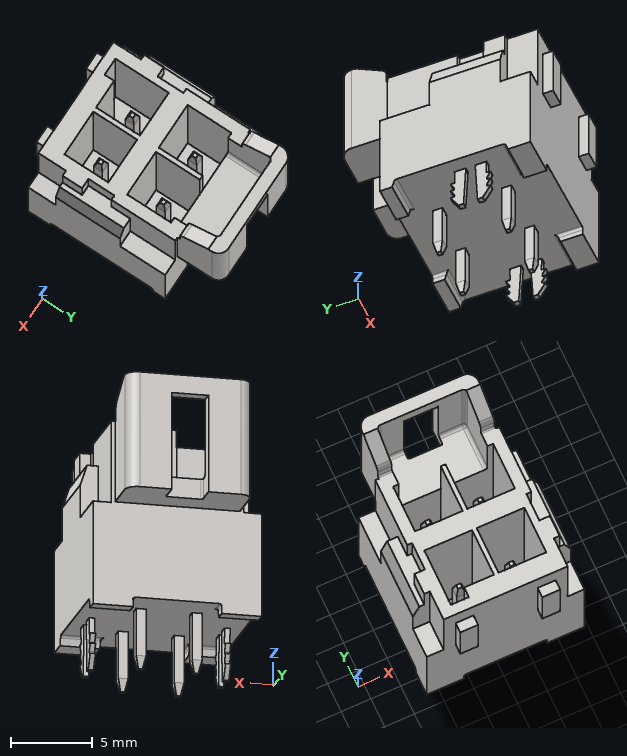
import cadquery as cq


BODY_WIDTH = 10.6
BODY_DEPTH = 10.0
CORE_WIDTH = 8.32
CORE_TOP = 11.82
SHOULDER_Z = 6.59

BLOCK_FRONT_Y = 2.01
BLOCK_BACK_Y = 6.7
BLOCK_TOP_Z = 9.96
BLOCK_TOP_WIDTH = 9.74
BLOCK_BEVEL_Z = 8.67
GUIDE_WIDTH = 9.08
GUIDE_BACK_Y = 3.44
NOTCH_WIDTH = 7.67
NOTCH_BACK_Y = 5.33

RIB_PROJECTION = 0.67
RIB_WIDTH = 1.2
RIB_TOP_Z = 10.3
RIB_SPACING = 5.5

PITCH_X = 3.51
ROWS_Y = (2.98, 7.55)
CAVITY_SIZE = 3.2
CAVITY_FLOOR_Z = 1.38
KEYWAY_WIDTH = 1.2
KEYWAY_DEPTH = 0.69
PIN_SIZE = 0.64
PIN_TIP_SIZE = 0.28
PIN_TIP_LENGTH = 0.8
PIN_BOTTOM_Z = -3.18
PIN_TOP_Z = 7.74

RECESS_HEIGHT = 0.62
RECESS_WIDTH = 5.57
RECESS_ROUND = 0.17
SIDE_RECESS_FRONT_Y = 1.51
SIDE_RECESS_BACK_Y = 9.18
SIDE_RECESS_SLOPE_RUN = 0.17
SIDE_RECESS_ROUND = 0.2

LATCH_WIDTH = 7.85
LATCH_BACK_Y = 13.25
LATCH_TOP_Z = 14.02
LATCH_BOTTOM_Z = 6.64
LATCH_CORNER_ROUND = 0.75
LATCH_WALL = 0.86
LATCH_ARM_FRONT_Y = 10.17
LATCH_SLOPE_BACK_Y = 12.25
LATCH_SLOPE_FRONT_Z = 12.83
LATCH_NOSE_ROUND = 0.5
LATCH_ROOT_ROUND = 0.1
LATCH_OPENING_WIDTH = 5.95
LATCH_FLOOR_Z = 7.91
LATCH_INNER_ROUND = 0.25
WINDOW_WIDTH = 2.3
WINDOW_TOP_Z = 12.83
WINDOW_NOTCH_LENGTH = 0.65
WINDOW_NOTCH_ROUND = 0.1

CLIP_SPACING = 8.5
CLIP_THICKNESS = 0.35
CLIP_CENTER_Y = 4.35
CLIP_BOTTOM_Z = -2.63
CLIP_INNER_TOP = 0.31
CLIP_INNER_BOTTOM = 0.46
CLIP_OUTER = 1.07
CLIP_OUTER_BOTTOM = 0.8
BARB_REACH = 1.32
BARB_ROOT_REACH = 1.03
BARB_ROOTS_Z = (-0.41, -1.03, -1.62)
BARB_TIPS_Z = (-0.43, -1.07, -1.74)
BARB_ROOT_ROUND = 0.1


def box(width, y_front, y_back, z_bottom, z_top, x_center=0):
    """Axis-aligned block centred on x_center in X."""
    size_y = y_back - y_front
    block = cq.Workplane("XY").box(width, size_y, z_top - z_bottom, centered=(True, False, False))
    return block.translate((x_center, y_front, z_bottom))


def make_housing():
    housing = box(BODY_WIDTH, 0, BODY_DEPTH, 0, SHOULDER_Z)
    housing = housing.union(box(CORE_WIDTH, 0, BODY_DEPTH, SHOULDER_Z, CORE_TOP))
    side_block = (
        cq.Workplane("XZ", origin=(0, BLOCK_BACK_Y, 0))
        .moveTo(-BODY_WIDTH / 2, SHOULDER_Z)
        .lineTo(-BODY_WIDTH / 2, BLOCK_BEVEL_Z)
        .lineTo(-BLOCK_TOP_WIDTH / 2, BLOCK_TOP_Z)
        .lineTo(BLOCK_TOP_WIDTH / 2, BLOCK_TOP_Z)
        .lineTo(BODY_WIDTH / 2, BLOCK_BEVEL_Z)
        .lineTo(BODY_WIDTH / 2, SHOULDER_Z)
        .close()
        .extrude(BLOCK_BACK_Y - BLOCK_FRONT_Y)
    )
    housing = housing.union(side_block)
    housing = housing.union(box(GUIDE_WIDTH, BLOCK_FRONT_Y, GUIDE_BACK_Y, SHOULDER_Z, CORE_TOP))

    notch_depth = (CORE_WIDTH - NOTCH_WIDTH) / 2
    for side in (-1, 1):
        notch_x = side * (NOTCH_WIDTH + notch_depth) / 2
        housing = housing.cut(
            box(notch_depth, GUIDE_BACK_Y, NOTCH_BACK_Y, BLOCK_TOP_Z, CORE_TOP, notch_x)
        )
        rib_x = side * RIB_SPACING / 2
        housing = housing.union(box(RIB_WIDTH, -RIB_PROJECTION, 0, SHOULDER_Z, RIB_TOP_Z, rib_x))
    return housing


def make_underside_recesses():
    front_to_back = box(RECESS_WIDTH, 0, BODY_DEPTH, 0, RECESS_HEIGHT)
    front_to_back = front_to_back.edges("|Y and >Z").fillet(RECESS_ROUND)
    side_to_side = (
        cq.Workplane("YZ", origin=(-BODY_WIDTH / 2, 0, 0))
        .moveTo(SIDE_RECESS_FRONT_Y, 0)
        .lineTo(SIDE_RECESS_FRONT_Y + SIDE_RECESS_SLOPE_RUN, RECESS_HEIGHT)
        .lineTo(SIDE_RECESS_BACK_Y - SIDE_RECESS_SLOPE_RUN, RECESS_HEIGHT)
        .lineTo(SIDE_RECESS_BACK_Y, 0)
        .close()
        .extrude(BODY_WIDTH)
        .edges("|X and >Z")
        .fillet(SIDE_RECESS_ROUND)
    )
    return front_to_back.union(side_to_side)


def make_latch():
    """Solid latch block: rounded rear corners, side arms sloping down to the housing top."""
    profile = (
        cq.Workplane("YZ", origin=(-LATCH_WIDTH / 2, 0, 0))
        .moveTo(LATCH_BACK_Y, LATCH_BOTTOM_Z)
        .lineTo(LATCH_BACK_Y, LATCH_TOP_Z)
        .lineTo(LATCH_SLOPE_BACK_Y, LATCH_TOP_Z)
        .lineTo(LATCH_ARM_FRONT_Y, LATCH_SLOPE_FRONT_Z)
        .lineTo(LATCH_ARM_FRONT_Y, CORE_TOP)
        .lineTo(BODY_DEPTH, CORE_TOP)
        .lineTo(BODY_DEPTH, LATCH_BOTTOM_Z)
        .close()
        .extrude(LATCH_WIDTH)
    )
    latch = profile.edges("|Z and >Y").fillet(LATCH_CORNER_ROUND)
    nose = cq.selectors.NearestToPointSelector((0, LATCH_ARM_FRONT_Y, LATCH_SLOPE_FRONT_Z))
    root = cq.selectors.NearestToPointSelector((0, LATCH_ARM_FRONT_Y, CORE_TOP))
    return latch.edges(nose).fillet(LATCH_NOSE_ROUND).edges(root).fillet(LATCH_ROOT_ROUND)


def make_latch_opening():
    """Space inside the latch frame, open at the top and into the rear cavities."""
    front_y = ROWS_Y[1] + CAVITY_SIZE / 2
    back_y = LATCH_BACK_Y - LATCH_WALL
    opening = box(LATCH_OPENING_WIDTH, front_y, back_y, LATCH_FLOOR_Z, LATCH_TOP_Z)
    opening = opening.edges("|Z and >Y").fillet(LATCH_INNER_ROUND)
    return opening.faces("<Z").edges("not <Y").fillet(LATCH_INNER_ROUND)


def make_latch_window():
    """Window through the rear wall, running on as a notch through the latch floor."""
    inner_y = LATCH_BACK_Y - LATCH_WALL
    window = box(
        WINDOW_WIDTH, inner_y - WINDOW_NOTCH_LENGTH, LATCH_BACK_Y, LATCH_BOTTOM_Z, WINDOW_TOP_Z
    )
    return window.edges("|Z and <Y").fillet(WINDOW_NOTCH_ROUND)


def make_cavity(x, y):
    half = CAVITY_SIZE / 2
    return box(CAVITY_SIZE, y - half, y + half, CAVITY_FLOOR_Z, CORE_TOP, x)


def make_keyway():
    """Extra slot in the front wall of the left front cavity."""
    cavity_front_y = ROWS_Y[0] - CAVITY_SIZE / 2
    cavity_left_x = -(PITCH_X + CAVITY_SIZE) / 2
    keyway_x = cavity_left_x + KEYWAY_WIDTH / 2
    return box(
        KEYWAY_WIDTH, cavity_front_y - KEYWAY_DEPTH, cavity_front_y, CAVITY_FLOOR_Z, CORE_TOP, keyway_x
    )


def make_pin(x, y):
    """Square pin tapered at both ends."""
    shank_bottom = PIN_BOTTOM_Z + PIN_TIP_LENGTH
    shank_top = PIN_TOP_Z - PIN_TIP_LENGTH
    half = PIN_SIZE / 2
    pin = box(PIN_SIZE, -half, half, shank_bottom, shank_top)
    for z, direction in ((shank_top, 1), (shank_bottom, -1)):
        tip = (
            cq.Workplane("XY", origin=(0, 0, z))
            .rect(PIN_SIZE, PIN_SIZE)
            .workplane(offset=direction * PIN_TIP_LENGTH)
            .rect(PIN_TIP_SIZE, PIN_TIP_SIZE)
            .loft()
        )
        pin = pin.union(tip)
    return pin.translate((x, y, 0))


def make_clip_leg():
    """Rear leg of a clip with its barbs pointing to +Y, centred on X = 0."""
    leg = (
        cq.Workplane("YZ", origin=(-CLIP_THICKNESS / 2, 0, 0))
        .moveTo(CLIP_INNER_BOTTOM, CLIP_BOTTOM_Z)
        .lineTo(CLIP_INNER_TOP, RECESS_HEIGHT)
        .lineTo(CLIP_OUTER, RECESS_HEIGHT)
    )
    for root_z, tip_z in zip(BARB_ROOTS_Z, BARB_TIPS_Z):
        leg = leg.lineTo(BARB_ROOT_REACH, root_z)
        leg = leg.lineTo(BARB_REACH, tip_z)
    leg = leg.lineTo(CLIP_OUTER_BOTTOM, CLIP_BOTTOM_Z).close().extrude(CLIP_THICKNESS)

    for root_z in BARB_ROOTS_Z:
        root = cq.selectors.NearestToPointSelector((0, BARB_ROOT_REACH, root_z))
        leg = leg.edges(root).fillet(BARB_ROOT_ROUND)
    return leg


result = make_housing().cut(make_underside_recesses())
result = result.union(make_latch()).cut(make_latch_opening()).cut(make_latch_window())
result = result.cut(make_keyway())

for row_y in ROWS_Y:
    for column_x in (-PITCH_X / 2, PITCH_X / 2):
        result = result.cut(make_cavity(column_x, row_y))
        result = result.union(make_pin(column_x, row_y))

rear_leg = make_clip_leg()
for leg in (rear_leg, rear_leg.mirror("XZ")):
    for clip_x in (-CLIP_SPACING / 2, CLIP_SPACING / 2):
        result = result.union(leg.translate((clip_x, CLIP_CENTER_Y, 0)))